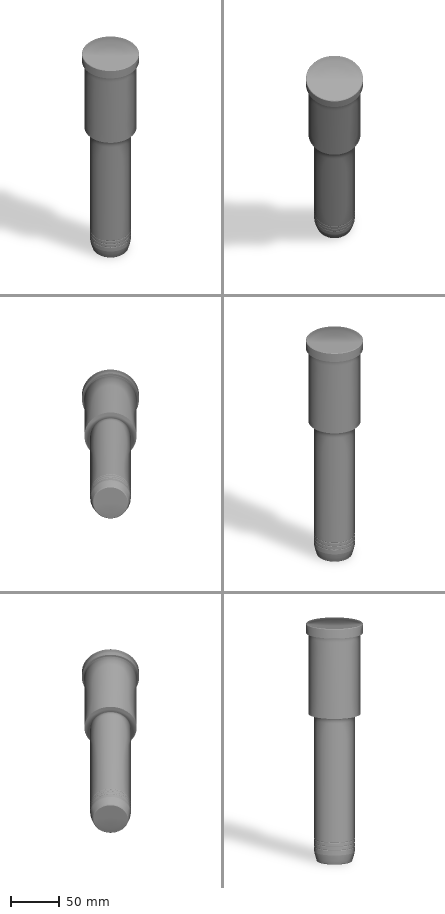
import cadquery as cq

length = 251.0
head_diameter = 59.0
sleeve_diameter = 54.0
shaft_diameter = 42.0
tip_diameter = 37.0

head_height = 10.0
head_and_sleeve_height = 95.5
nose_height = 10.3
nose_bulge = 0.3

head_chamfer = 0.5
head_fillet = 0.8
tip_chamfer = 0.8

relief_height = 1.8
relief_depth = 0.5
groove_width = 1.0
groove_depth = 0.3
groove_pitch = 4.0
lowest_groove_center = 15.5
groove_count = 3

head_radius = head_diameter / 2
sleeve_radius = sleeve_diameter / 2
shaft_radius = shaft_diameter / 2
tip_radius = tip_diameter / 2
head_bottom = length - head_height
sleeve_bottom = length - head_and_sleeve_height


def pin_body():
    """Revolve the half profile of nose, shaft, sleeve and head about Z."""
    nose_middle = (
        (tip_radius + shaft_radius) / 2 + nose_bulge,
        (tip_chamfer + nose_height) / 2,
    )
    profile = (
        cq.Workplane("XZ")
        .lineTo(tip_radius - tip_chamfer, 0)
        .lineTo(tip_radius, tip_chamfer)
        .threePointArc(nose_middle, (shaft_radius, nose_height))
        .lineTo(shaft_radius, sleeve_bottom)
        .lineTo(sleeve_radius, sleeve_bottom)
        .lineTo(sleeve_radius, head_bottom - head_fillet)
        .radiusArc((sleeve_radius + head_fillet, head_bottom), head_fillet)
        .lineTo(head_radius, head_bottom)
        .lineTo(head_radius, length - head_chamfer)
        .lineTo(head_radius - head_chamfer, length)
        .lineTo(0, length)
        .close()
    )
    return profile.revolve(360, (0, 0, 0), (0, 1, 0))


def relief_ring():
    """Ring that undercuts the shaft directly below the sleeve."""
    return (
        cq.Workplane("XY", origin=(0, 0, sleeve_bottom - relief_height))
        .circle(shaft_radius)
        .circle(shaft_radius - relief_depth)
        .extrude(relief_height)
    )


def v_groove(center_height):
    """Ring with a V-shaped section, sunk into the shaft surface."""
    section = (
        cq.Workplane("XZ")
        .moveTo(shaft_radius, center_height - groove_width / 2)
        .lineTo(shaft_radius - groove_depth, center_height)
        .lineTo(shaft_radius, center_height + groove_width / 2)
        .close()
    )
    return section.revolve(360, (0, 0, 0), (0, 1, 0))


result = pin_body().cut(relief_ring())

for index in range(groove_count):
    result = result.cut(v_groove(lowest_groove_center + index * groove_pitch))